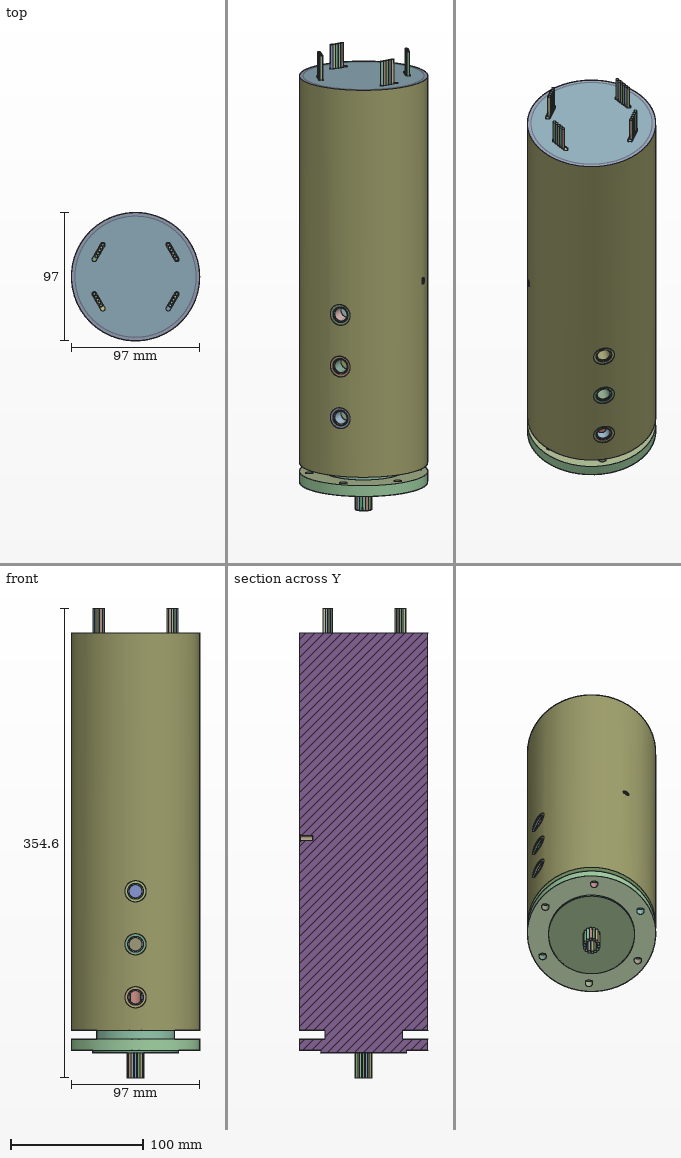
import cadquery as cq
import math

OVERALL_HEIGHT = 354.6
BODY_DIA = 97.0
BODY_RADIUS = BODY_DIA / 2
BODY_LENGTH = 300.0
SHELL_WALL = 2.75
LID_DIA = BODY_DIA - 2 * SHELL_WALL

NECK_DIA = 59.0
NECK_LENGTH = 6.5
FLANGE_THICKNESS = 8.5
PLATE_DIA = 65.0
PLATE_THICKNESS = 2.0
FLANGE_TOP_Z = -NECK_LENGTH
FLANGE_BOTTOM_Z = FLANGE_TOP_Z - FLANGE_THICKNESS
PLATE_BOTTOM_Z = FLANGE_BOTTOM_Z - PLATE_THICKNESS

BOLT_COUNT = 6
BOLT_HOLE_DIA = 5.5
BOLT_CIRCLE_RADIUS = 41.5
BOLT_START_ANGLE = 30.0

PIN_DIA = 2.2
PIN_PITCH = 2.5
TOP_PIN_LENGTH = 18.6
PINS_PER_SLOT = 5
PINS_IN_FULL_SLOT = 6

SLOT_WIDTH = 3.4
SLOT_LENGTH = 16.3
SLOT_DEPTH = 1.0
SLOT_X = 27.9
SLOT_Y = 18.6
SLOT_TILT = 60.0

RING_PIN_COUNT = 14
RING_PIN_RADIUS = 5.4
RING_PIN_START_ANGLE = 90.0
RING_PIN_LENGTH = OVERALL_HEIGHT - TOP_PIN_LENGTH - BODY_LENGTH + PLATE_BOTTOM_Z

FRONT_ANGLE = -90.0
REAR_ANGLE = 90.0
PORT_COUNT = 3
PORT_PITCH = 40.0
PORT_FIRST_Z = 25.0
PORT_STAGGER = PORT_PITCH / 2
PORT_FACE_DIA = 16.0
PORT_FACE_DEPTH = 0.7
PORT_COUNTERBORE_DIA = 12.0
PORT_COUNTERBORE_DEPTH = 2.0
PORT_BORE_DIA = 10.0
PORT_DEPTH = 15.0

CHANNEL_DIA = 9.0
CHANNEL_Y = -36.0
CHANNEL_TOP_Z = 45.0

SIDE_HOLE_ANGLE = 180.0
SIDE_HOLE_Z = 145.2
SIDE_COUNTERBORE_DIA = 5.0
SIDE_COUNTERBORE_DEPTH = 1.0
SIDE_HOLE_DIA = 3.4
SIDE_HOLE_DEPTH = 10.0


def disc(diameter, bottom_z, height):
    """Upright cylinder on the main axis."""
    return cq.Workplane("XY").workplane(offset=bottom_z).circle(diameter / 2).extrude(height)


def radial_hole(diameter, depth, z, angle):
    """Cutter that enters the body wall along a radius and stops at the given depth."""
    direction = cq.Vector(math.cos(math.radians(angle)), math.sin(math.radians(angle)), 0)
    start = direction * (BODY_RADIUS - depth) + cq.Vector(0, 0, z)
    return cq.Workplane(cq.Solid.makeCylinder(diameter / 2, depth, start, direction))


def make_body():
    """Rim and lid are joined unmerged so that their boundary stays on the end face."""
    lid = disc(LID_DIA, 0, BODY_LENGTH)
    shell = disc(BODY_DIA, 0, BODY_LENGTH).cut(lid)
    return lid.union(shell, clean=False)


def make_flange():
    """Neck, drilled flange and thin plate below the body."""
    neck = disc(NECK_DIA, FLANGE_TOP_Z, NECK_LENGTH)
    flange = disc(BODY_DIA, FLANGE_BOTTOM_Z, FLANGE_THICKNESS)
    bolt_holes = (
        cq.Workplane("XY")
        .workplane(offset=FLANGE_BOTTOM_Z)
        .polarArray(BOLT_CIRCLE_RADIUS, BOLT_START_ANGLE, 360, BOLT_COUNT)
        .circle(BOLT_HOLE_DIA / 2)
        .extrude(FLANGE_THICKNESS)
    )
    plate = disc(PLATE_DIA, PLATE_BOTTOM_Z, PLATE_THICKNESS)
    return neck.union(flange.cut(bolt_holes)).union(plate)


def make_ring_pins():
    """Ring of pins hanging from the bottom plate."""
    return (
        cq.Workplane("XY")
        .workplane(offset=PLATE_BOTTOM_Z)
        .polarArray(RING_PIN_RADIUS, RING_PIN_START_ANGLE, 360, RING_PIN_COUNT)
        .circle(PIN_DIA / 2)
        .extrude(-RING_PIN_LENGTH)
    )


def make_slot_and_pins(side_x, side_y):
    """One slot in the lid and the row of pins that starts at its +Y end."""
    tilt = SLOT_TILT if side_x * side_y < 0 else 180 - SLOT_TILT
    floor = (
        cq.Workplane("XY")
        .workplane(offset=BODY_LENGTH - SLOT_DEPTH)
        .center(side_x * SLOT_X, side_y * SLOT_Y)
        .transformed(rotate=(0, 0, tilt))
    )
    slot = floor.slot2D(SLOT_LENGTH, SLOT_WIDTH).extrude(SLOT_DEPTH)
    is_full = side_x > 0 and side_y > 0
    pin_count = PINS_IN_FULL_SLOT if is_full else PINS_PER_SLOT
    first_pin = (SLOT_LENGTH - SLOT_WIDTH) / 2
    positions = [(first_pin - i * PIN_PITCH, 0) for i in range(pin_count)]
    pins = floor.pushPoints(positions).circle(PIN_DIA / 2).extrude(SLOT_DEPTH + TOP_PIN_LENGTH)
    return slot, pins


def make_port(z, angle):
    """Cutter for a flat face, a counterbore and a blind bore."""
    face = radial_hole(PORT_FACE_DIA, PORT_FACE_DEPTH, z, angle)
    counterbore = radial_hole(PORT_COUNTERBORE_DIA, PORT_COUNTERBORE_DEPTH, z, angle)
    bore = radial_hole(PORT_BORE_DIA, PORT_DEPTH, z, angle)
    return bore.union(counterbore).union(face)


def make_channel():
    """Cutter for the vertical channel drilled up from the body underside."""
    return cq.Workplane("XY").center(0, CHANNEL_Y).circle(CHANNEL_DIA / 2).extrude(CHANNEL_TOP_Z)


def make_side_hole():
    """Cutter for the small counterbored hole."""
    counterbore = radial_hole(SIDE_COUNTERBORE_DIA, SIDE_COUNTERBORE_DEPTH, SIDE_HOLE_Z, SIDE_HOLE_ANGLE)
    return radial_hole(SIDE_HOLE_DIA, SIDE_HOLE_DEPTH, SIDE_HOLE_Z, SIDE_HOLE_ANGLE).union(counterbore)


def make_part():
    part = make_body().union(make_flange(), clean=False)
    part = part.union(make_ring_pins(), clean=False)

    for side_x in (-1, 1):
        for side_y in (-1, 1):
            slot, pins = make_slot_and_pins(side_x, side_y)
            part = part.cut(slot, clean=False).union(pins, clean=False)

    for i in range(PORT_COUNT):
        port_z = PORT_FIRST_Z + i * PORT_PITCH
        part = part.cut(make_port(port_z, FRONT_ANGLE), clean=False)
        part = part.cut(make_port(port_z + PORT_STAGGER, REAR_ANGLE), clean=False)

    part = part.cut(make_channel(), clean=False)
    return part.cut(make_side_hole(), clean=False)


result = make_part()